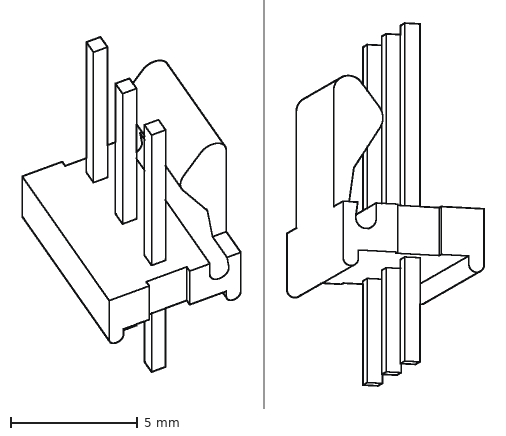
import cadquery as cq
import math

pin_count = 3
pitch = 2.54
pin_side = 0.63
pin_bottom = -4.19
pin_length = 13.59

body_width = pin_count * pitch
body_height = 1.93
body_back = 3.17
body_front = -2.68

foot_width = 0.64
foot_drop = 0.64

notch_depth = 0.26
notch_length = 1.8

slot_radius = 0.42
slot_y = 2.22
slot_z = 1.3

latch_width = (pin_count - 1) * pitch
latch_kink = (2.32, 3.53)
hook_tip = (0.96, 5.64)
hook_peak = (body_back, 8.44)
hook_top_radius = 0.64
hook_tip_radius = 0.72

kink_dy = latch_kink[0] - slot_y
kink_dz = latch_kink[1] - slot_z
tangent_angle = math.atan2(kink_dz, kink_dy) - math.acos(slot_radius / math.hypot(kink_dy, kink_dz))
slot_tangent = (
    slot_y + slot_radius * math.cos(tangent_angle),
    slot_z + slot_radius * math.sin(tangent_angle),
)
face_slope = (latch_kink[0] - slot_tangent[0]) / (latch_kink[1] - slot_tangent[1])
face_at_body_top = (
    latch_kink[0] + face_slope * (body_height - latch_kink[1]),
    body_height,
)


def extrude_across(outline, width):
    """Extrude a YZ outline by the given width, centred on X = 0."""
    return outline.extrude(width / 2, both=True)


def make_body():
    outline = (
        cq.Workplane("YZ")
        .moveTo(body_front, 0)
        .lineTo(body_back, 0)
        .lineTo(body_back, body_height)
        .lineTo(*face_at_body_top)
        .lineTo(*slot_tangent)
        .threePointArc((slot_y, slot_z - slot_radius), (slot_y - slot_radius, slot_z))
        .lineTo(slot_y - slot_radius, body_height)
        .lineTo(body_front, body_height)
        .close()
    )
    body = extrude_across(outline, body_width)
    for side in (-1, 1):
        notch = cq.Workplane("XY").box(
            2 * notch_depth, notch_length, body_height, centered=(True, True, False)
        )
        body = body.cut(notch.translate((side * body_width / 2, 0, 0)))
    return body


def make_foot(center_y):
    """Full-width rail with a round lower edge."""
    radius = foot_width / 2
    outline = (
        cq.Workplane("YZ")
        .moveTo(center_y - radius, 0)
        .lineTo(center_y - radius, radius - foot_drop)
        .threePointArc((center_y, -foot_drop), (center_y + radius, radius - foot_drop))
        .lineTo(center_y + radius, 0)
        .close()
    )
    return extrude_across(outline, body_width)


def make_latch():
    outline = (
        cq.Workplane("YZ")
        .moveTo(body_back, body_height)
        .lineTo(*face_at_body_top)
        .lineTo(*latch_kink)
        .lineTo(*hook_tip)
        .lineTo(*hook_peak)
        .close()
    )
    latch = extrude_across(outline, latch_width)
    latch = latch.edges("|X and >Z").fillet(hook_top_radius)
    return latch.edges("|X and <Y").fillet(hook_tip_radius)


def make_pin(x):
    pin = cq.Workplane("XY").box(pin_side, pin_side, pin_length, centered=(True, True, False))
    return pin.translate((x, 0, pin_bottom))


result = make_body().union(make_latch())
for foot_y in (body_back - foot_width / 2, body_front + foot_width / 2):
    result = result.union(make_foot(foot_y))
for index in range(pin_count):
    result = result.union(make_pin((index - (pin_count - 1) / 2) * pitch))